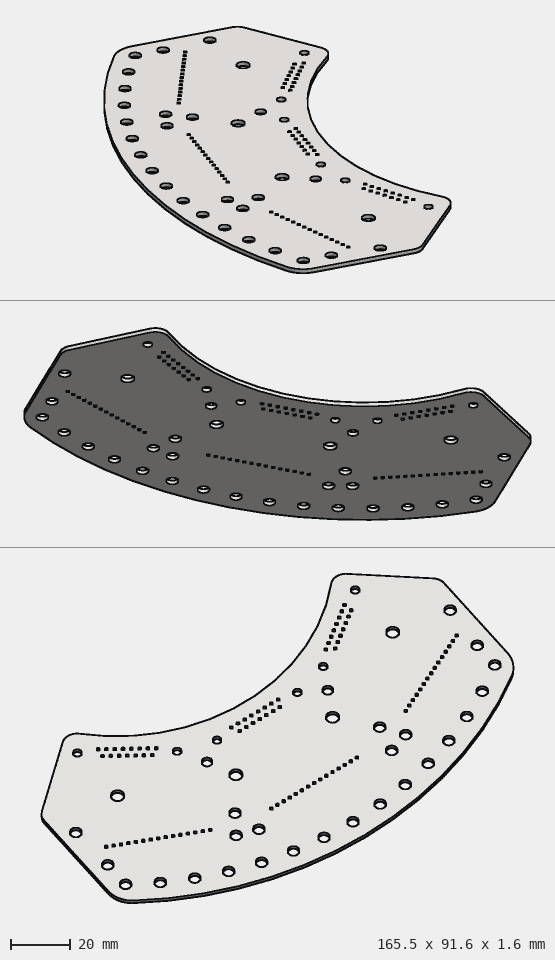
import cadquery as cq
import math

length = 165.5
thickness = 1.6
outer_radius = 140.0
inner_radius = 72.1
shoulder_y = -69.7
shoulder_slope = 40.0
outer_corner_radius = 10.0
end_corner_radius = 5.0

rim_hole_diameter = 4.0
rim_pitch_radius = 133.2
rim_pitch_angle = 5.0
rim_hole_count = 15

plate_pairs = [(57.0, -78.1), (20.0, -94.5)]
plate_hole_diameter = 4.5
side_pair = (76.5, -99.1)
board_axis_x = 0.3
board_pairs = [(77.5, -82.0), (30.0, -107.0), (35.0, -114.7), (27.5, -117.2)]
board_hole_diameter = 4.0
guide_pair = (25.0, -84.5)
guide_hole_diameter = 3.6

connectors = [(0.0, -79.3, 0.0), (-43.7, -65.5, -35.0), (43.5, -66.2, 35.0)]
connector_mount_spacing = 33.3
connector_mount_diameter = 3.0
connector_pin_diameter = 1.03
connector_row_spacing = 2.8
inner_row_count = 8
outer_row_count = inner_row_count - 1
inner_row_length = 19.4
connector_pitch = inner_row_length / (inner_row_count - 1)

headers = [(-1.0, -112.7, 0.0), (-56.5, -100.3, -25.0), (57.3, -99.3, 25.0)]
header_length = 35.4
header_pin_count = 15
header_pitch = header_length / (header_pin_count - 1)
header_pin_diameter = 1.0


def circle_y(radius, x):
    """Y of the lower half of a circle about the origin."""
    return -math.sqrt(radius**2 - x**2)


def end_tip():
    """Right-hand point where the sloping end meets the inner arc."""
    angle = math.radians(shoulder_slope)
    offset = length / 2 * math.sin(angle) + shoulder_y * math.cos(angle)
    along = -math.sqrt(inner_radius**2 - offset**2)
    x = offset * math.sin(angle) - along * math.cos(angle)
    y = offset * math.cos(angle) + along * math.sin(angle)
    return x, y


def make_plate():
    half = length / 2
    corner_y = circle_y(outer_radius, half)
    tip_x, tip_y = end_tip()
    plate = (
        cq.Workplane("XY")
        .moveTo(-half, corner_y)
        .threePointArc((0, -outer_radius), (half, corner_y))
        .lineTo(half, shoulder_y)
        .lineTo(tip_x, tip_y)
        .threePointArc((0, -inner_radius), (-tip_x, tip_y))
        .lineTo(-half, shoulder_y)
        .close()
        .extrude(thickness)
    )
    plate = plate.edges("|Z").edges("<Y").fillet(outer_corner_radius)
    middle_y = (corner_y + shoulder_y) / 2
    end_edges = cq.selectors.BoxSelector((-length, middle_y, -length), (length, 0, length))
    return plate.edges("|Z").edges(end_edges).fillet(end_corner_radius)


def drill(plate, points, diameter):
    """Cut round through holes at the given points."""
    cutters = cq.Workplane("XY").pushPoints(points).circle(diameter / 2).extrude(thickness)
    return plate.cut(cutters)


def pair(half_spacing, y, axis_x=0.0):
    """Two points mirrored about an axis parallel to Y."""
    return [(axis_x - half_spacing, y), (axis_x + half_spacing, y)]


def row(count, pitch, placement, offset=0.0):
    """Evenly spaced points on a line, shifted sideways by offset and turned into place."""
    x, y, degrees = placement
    angle = math.radians(degrees)
    points = []
    for i in range(count):
        along = (i - (count - 1) / 2) * pitch
        points.append((
            x + along * math.cos(angle) - offset * math.sin(angle),
            y + along * math.sin(angle) + offset * math.cos(angle),
        ))
    return points


def rim_points():
    """Points spaced evenly by angle along the outer rim."""
    points = []
    for i in range(rim_hole_count):
        angle = math.radians((i - (rim_hole_count - 1) / 2) * rim_pitch_angle)
        points.append((rim_pitch_radius * math.sin(angle), -rim_pitch_radius * math.cos(angle)))
    return points


result = make_plate()

result = drill(result, rim_points() + pair(*side_pair), rim_hole_diameter)
for half_spacing, y in plate_pairs:
    result = drill(result, pair(half_spacing, y), plate_hole_diameter)
for half_spacing, y in board_pairs:
    result = drill(result, pair(half_spacing, y, board_axis_x), board_hole_diameter)
result = drill(result, pair(*guide_pair, board_axis_x), guide_hole_diameter)

for placement in connectors:
    inner_row = row(inner_row_count, connector_pitch, placement, connector_row_spacing / 2)
    outer_row = row(outer_row_count, connector_pitch, placement, -connector_row_spacing / 2)
    result = drill(result, inner_row + outer_row, connector_pin_diameter)
    result = drill(result, row(2, connector_mount_spacing, placement), connector_mount_diameter)

for placement in headers:
    result = drill(result, row(header_pin_count, header_pitch, placement), header_pin_diameter)